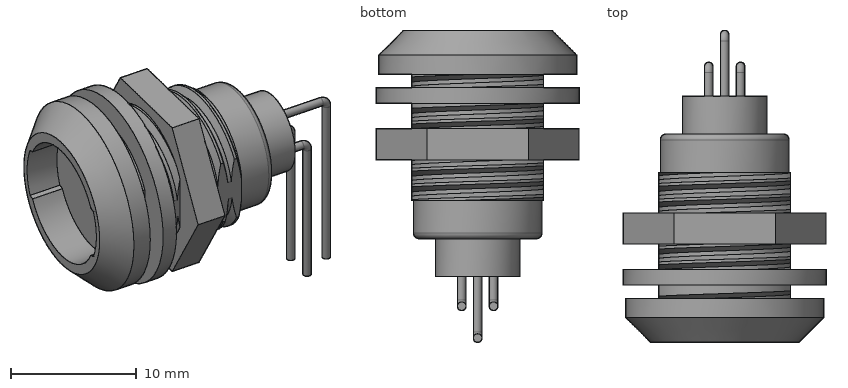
import cadquery as cq
import math


flange_back = 3.5
washer_front = 4.57
washer_thickness = 1.25
nut_front = 7.82
nut_thickness = 2.48
barrel_front = 1.25
barrel_back = 13.55
neck_back = 16.6
boss_back = 19.6
total_length = 24.85
total_height = 22.08

flange_diameter = 15.8
flange_chamfer = 1.99
washer_diameter = 16.2
nut_across_corners = 16.15
neck_diameter = 10.25
neck_fillet = 0.47
boss_diameter = 6.75

thread_diameter = 11.97
thread_root_radius = 5.32
seven_turn_advance = 8.75
thread_pitch = seven_turn_advance / 7
groove_root_width = 0.32
groove_crest_width = 1.02
groove_overshoot = 0.05
barrel_across_flats = 10.5

front_groove_end = 4.32
front_groove_turns = 1.5
middle_groove_turns = 2.5
middle_to_rear_turns = 3
rear_groove_turns = 4
blank_extra_length = 3.73

socket_depth = 2.75
socket_diameter = 10.15
lobe_diameter = 10.78
lobe_tip_height = 4.12
lobe_taper = 15

pin_diameter = 0.7
pin_offset = 1.27
pin_bend_radius = 0.5
pin_row_spacing = 2.53
pin_bottom = washer_diameter / 2 - total_height
pin_embed = 0.5


def axial_plane(y):
    return cq.Workplane("XZ", origin=(0, y, 0))


def cylinder(y_start, y_end, diameter):
    return axial_plane(y_start).circle(diameter / 2).extrude(y_start - y_end)


def thread_groove(y_start, start_angle, turns):
    """Right-hand trapezoid groove; the angle runs from +X towards -Z."""
    crest_radius = thread_diameter / 2
    side_slope = (groove_crest_width - groove_root_width) / 2 / (crest_radius - thread_root_radius)
    root_half = groove_root_width / 2
    outer_half = groove_crest_width / 2 + groove_overshoot * side_slope
    outer_radius = crest_radius + groove_overshoot
    profile = cq.Workplane("XZ").polyline([
        (thread_root_radius, -root_half),
        (outer_radius, -outer_half),
        (outer_radius, outer_half),
        (thread_root_radius, root_half),
    ]).close()
    path = cq.Wire.makeHelix(thread_pitch, thread_pitch * turns, thread_root_radius)
    groove = profile.sweep(cq.Workplane(path), isFrenet=True)
    groove = groove.rotate((0, 0, 0), (0, 0, 1), start_angle)
    return groove.rotate((0, 0, 0), (1, 0, 0), -90).translate((0, y_start, 0))


def threaded_barrel():
    blank = cylinder(barrel_front, barrel_back + blank_extra_length, thread_diameter)
    front_start = front_groove_end - front_groove_turns * thread_pitch
    middle_start = front_groove_end + thread_pitch
    rear_start = middle_start + middle_to_rear_turns * thread_pitch
    for y_start, start_angle, turns in (
        (front_start, 0, front_groove_turns),
        (middle_start, 180, middle_groove_turns),
        (rear_start, 180, rear_groove_turns),
    ):
        blank = blank.cut(thread_groove(y_start, start_angle, turns))
    trim_length = barrel_back - barrel_front
    trim = axial_plane(barrel_front).rect(barrel_across_flats, washer_diameter).extrude(-trim_length)
    return blank.intersect(trim)


def socket():
    tip_x = lobe_diameter / 2
    tip_z = lobe_tip_height / 2
    middle_z = tip_z + tip_x * math.tan(math.radians(lobe_taper))
    hexagon = axial_plane(0).polyline([
        (-tip_x, -tip_z),
        (0, -middle_z),
        (tip_x, -tip_z),
        (tip_x, tip_z),
        (0, middle_z),
        (-tip_x, tip_z),
    ]).close().extrude(-socket_depth)
    lobes = cylinder(0, socket_depth, lobe_diameter).intersect(hexagon)
    return cylinder(0, socket_depth, socket_diameter).union(lobes)


def pin(x, z, y_back):
    y_leg = y_back - pin_diameter / 2
    path = (
        cq.Workplane("YZ", origin=(x, 0, 0))
        .moveTo(boss_back - pin_embed, z)
        .lineTo(y_leg - pin_bend_radius, z)
        .tangentArcPoint((pin_bend_radius, -pin_bend_radius))
        .lineTo(y_leg, pin_bottom)
    )
    section = cq.Workplane("XZ", origin=(x, boss_back - pin_embed, z)).circle(pin_diameter / 2)
    return section.sweep(path)


flange = cylinder(0, flange_back, flange_diameter).faces("<Y").chamfer(flange_chamfer)
washer = cylinder(washer_front, washer_front + washer_thickness, washer_diameter)
nut = axial_plane(nut_front).polygon(6, nut_across_corners).extrude(-nut_thickness)
neck = cylinder(flange_back, neck_back, neck_diameter).faces(">Y").edges().fillet(neck_fillet)
boss = cylinder(flange_back, boss_back, boss_diameter)

body = threaded_barrel()
for piece in (flange, washer, nut, neck, boss):
    body = body.union(piece)
body = body.cut(socket())

body = body.union(pin(0, pin_offset, total_length))
for side in (-1, 1):
    body = body.union(pin(side * pin_offset, -pin_offset, total_length - pin_row_spacing))

result = body